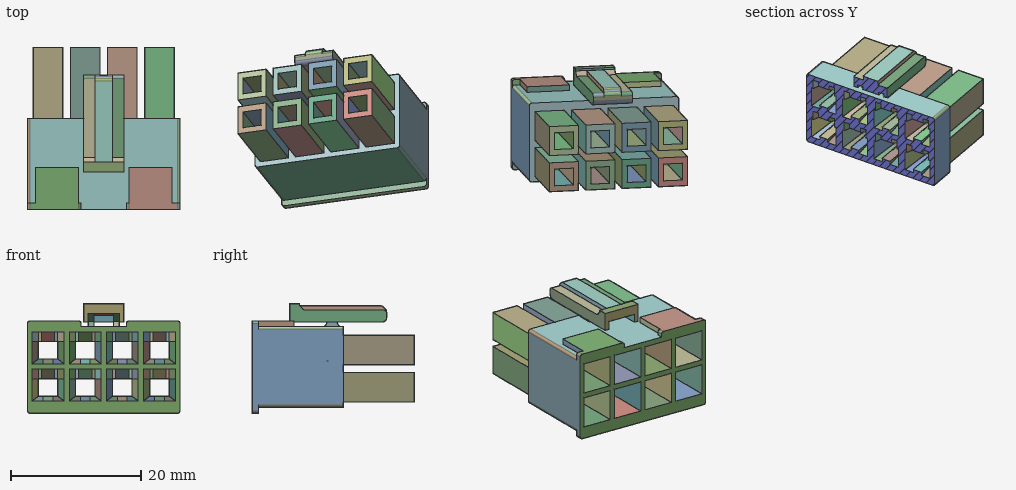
import cadquery as cq


width = 23.45
total_length = 24.92
body_length = 14.0
body_bottom = 0.92
body_top = 13.35
edge_radius = 0.4

flange_thickness = 1.0
flange_height = 14.23
notch_half_width = 3.5

pad_inner = notch_half_width + edge_radius
pad_outer = 10.52
pad_length = 6.45

columns = 4
rows = 2
pitch = 5.7
column_centres = [pitch * (i - (columns - 1) / 2) for i in range(columns)]

sleeve_size = 4.55
sleeve_bottom = 1.75

cavity_size = 4.88
cavity_bottom = 1.92
window_width = 2.95
window_sill = 0.75
window_top = 3.4
funnel_length = 5.68
funnel_start = body_length - funnel_length
funnel_end = body_length
roof_step_end = funnel_start + funnel_length / 2
roof_ramp_width = 2.05
key_width = 1.5

latch_width = 6.15
latch_front = 5.75
latch_tip = 20.68
latch_bottom = 14.03
latch_top = 16.87
rail_top = 15.87
rib_top = 16.55
rib_width = 2.72
head_length = 1.52
head_ramp = 0.7
rail_tip_radius = 0.52
rib_tip_chamfer = 0.7
rib_chamfer_top_radius = 0.57
rib_chamfer_end_radius = 0.77
tip_lower_radius = 0.7

hollow_half_width = 2.4
hollow_top = 15.35
web_half_width = 1.47
web_front = 9.72
web_hollow_top = 15.08
leg_front = 11.51
leg_back = 13.03
leg_top = 14.15
leg_flare = 0.5
leg_flare_sag = 0.1


def block(x_min, x_max, y_min, y_max, z_min, z_max):
    """Box given by its limits along each axis."""
    size = (x_max - x_min, y_max - y_min, z_max - z_min)
    return cq.Workplane("XY").box(*size, centered=False).translate((x_min, y_min, z_min))


def rounded_slab(length, z_min, z_max):
    """Full-width slab from the mating face with its four long edges rounded."""
    slab = block(-width / 2, width / 2, 0, length, z_min, z_max)
    return slab.edges("|Y").fillet(edge_radius)


def taper(y_min, start, y_max, end):
    """Solid between two upright rectangles (x_min, x_max, z_min, z_max) at two depths."""
    wires = []
    for y, (x_min, x_max, z_min, z_max) in ((y_min, start), (y_max, end)):
        corners = [(x_min, y, z_min), (x_max, y, z_min), (x_max, y, z_max), (x_min, y, z_max)]
        wires.append(cq.Wire.makePolygon([cq.Vector(*c) for c in corners], close=True))
    return cq.Workplane(obj=cq.Solid.makeLoft(wires, True))


def side_profile(points, x_min, x_max):
    """Closed (y, z) polygon extruded across X."""
    return cq.Workplane("YZ").workplane(offset=x_min).polyline(points).close().extrude(x_max - x_min)


def make_housing():
    flange = rounded_slab(flange_thickness, 0, flange_height)
    notch = block(-notch_half_width, notch_half_width, 0, flange_thickness, body_top, flange_height)
    flange = flange.cut(notch)
    notch_rims = cq.selectors.BoxSelector(
        (-pad_inner, 0, flange_height - edge_radius),
        (pad_inner, flange_thickness, flange_height + edge_radius),
    )
    flange = flange.edges("|Y").edges(notch_rims).fillet(edge_radius)

    housing = flange.union(rounded_slab(body_length, body_bottom, body_top))
    for x_min in (-pad_outer, pad_inner):
        x_max = x_min + pad_outer - pad_inner
        housing = housing.union(block(x_min, x_max, 0, pad_length, body_top, flange_height))
    return housing


def make_sleeve():
    """Wire sleeve of the first row, centred on X = 0."""
    half = sleeve_size / 2
    return block(-half, half, body_length, total_length, sleeve_bottom, sleeve_bottom + sleeve_size)


def make_cavity():
    """Contact cavity of the first row, centred on X = 0, as a solid to cut away."""
    half = cavity_size / 2
    half_window = window_width / 2
    floor = cavity_bottom
    sill = floor + window_sill
    lintel = floor + window_top
    roof = floor + cavity_size

    bore = block(-half, half, 0, funnel_start, floor, roof)
    funnel = taper(
        funnel_start, (-half, half, floor, lintel),
        funnel_end, (-half_window, half_window, sill, lintel),
    )
    key = block(-key_width / 2, key_width / 2, funnel_start, funnel_end, floor, sill)
    roof_step = taper(
        funnel_start, (-half, half, lintel, roof),
        roof_step_end, (-half_window, half_window, lintel, roof),
    )
    roof_ramp = side_profile(
        [(funnel_start, roof), (roof_step_end, roof), (roof_step_end, lintel)],
        -roof_ramp_width / 2, roof_ramp_width / 2,
    )
    window = block(-half_window, half_window, funnel_start, total_length, sill, lintel)
    return bore.union(funnel.cut(key)).union(roof_step.cut(roof_ramp)).union(window)


def make_latch_lever():
    half = latch_width / 2
    head_back = latch_front + head_length

    beam = block(-half, half, latch_front, latch_tip, latch_bottom, rail_top)
    beam = beam.edges(">Y and >Z").fillet(rail_tip_radius)
    beam = beam.edges(">Y and <Z").fillet(tip_lower_radius)

    rib = block(-rib_width / 2, rib_width / 2, latch_front, latch_tip, hollow_top, rib_top)
    rib = rib.edges(">Y and >Z").chamfer(rib_tip_chamfer)
    rib = rib.faces(">Z").edges(">Y").fillet(rib_chamfer_top_radius)
    rib = rib.faces(">Y").edges(">Z").fillet(rib_chamfer_end_radius)

    head = side_profile(
        [
            (latch_front, rail_top),
            (latch_front, latch_top),
            (head_back, latch_top),
            (head_back, rail_top + head_ramp),
            (head_back + head_ramp, rail_top),
        ],
        -half, half,
    )
    return beam.union(rib).union(head)


def make_latch_hollow():
    """Space under the lever: it runs back to the legs, with a web between them."""
    side_hollow = side_profile(
        [
            (latch_front, latch_bottom),
            (latch_front, hollow_top),
            (leg_front, leg_top),
            (leg_front, latch_bottom),
        ],
        -hollow_half_width, hollow_half_width,
    )
    centre_hollow = side_profile(
        [
            (latch_front, latch_bottom),
            (latch_front, hollow_top),
            (web_front, web_hollow_top),
            (web_front, latch_bottom),
        ],
        -web_half_width, web_half_width,
    )
    between_legs = block(-web_half_width, web_half_width, latch_front, leg_front, latch_bottom, hollow_top)
    return side_hollow.cut(between_legs).union(centre_hollow)


def make_legs():
    """Pair of legs flaring out towards the body in hollow arcs."""
    mid_z = (leg_top + body_top - leg_flare_sag) / 2
    mid_flare = leg_flare / 2 - leg_flare_sag
    profile = (
        cq.Workplane("YZ")
        .moveTo(leg_front, leg_top)
        .threePointArc((leg_front - mid_flare, mid_z), (leg_front - leg_flare, body_top))
        .lineTo(leg_back + leg_flare, body_top)
        .threePointArc((leg_back + mid_flare, mid_z), (leg_back, leg_top))
        .close()
    )
    leg = profile.extrude(hollow_half_width - web_half_width).translate((web_half_width, 0, 0))
    return leg.union(leg.mirror("YZ"))


result = make_housing()

sleeve = make_sleeve()
cavity = make_cavity()
contact_offsets = [(x, 0, row * pitch) for x in column_centres for row in range(rows)]
for offset in contact_offsets:
    result = result.union(sleeve.translate(offset))
for offset in contact_offsets:
    result = result.cut(cavity.translate(offset))

latch = make_latch_lever().cut(make_latch_hollow())
result = result.union(make_legs()).union(latch)